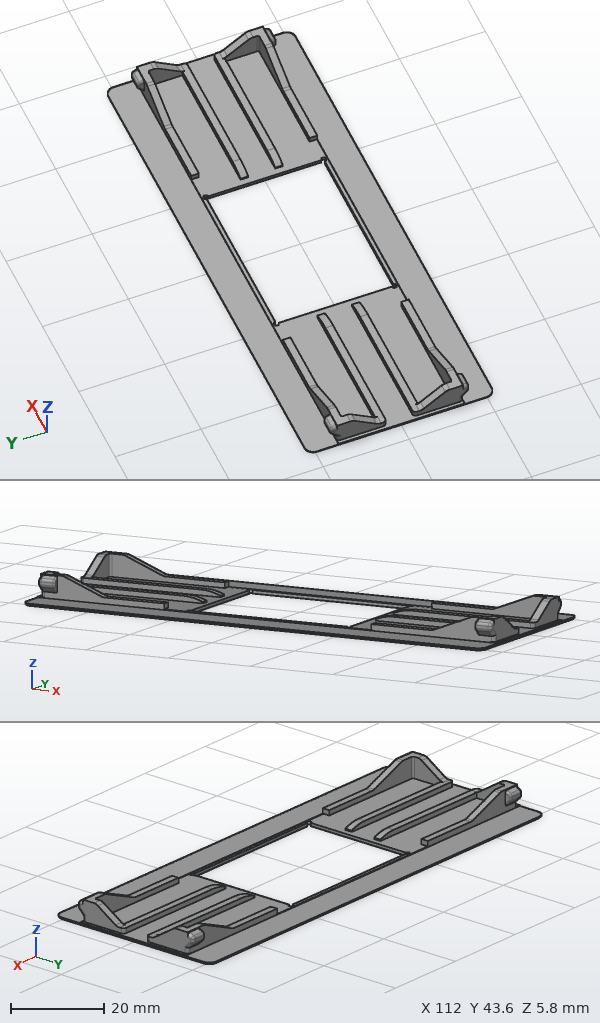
import cadquery as cq

plate_length = 112.0
plate_width = 43.6
plate_thickness = 0.62
plate_bottom_chamfer = 0.39
centre_strip_thickness = 0.8
plate_corner_radius = 2.0

window_length = 38.9
window_width = 27.4
relief_radius = 0.6

total_height = 5.8
rail_top = 2.0
end_margin = 0.84
wall_thickness = 2.0
rail_width = 1.8
outer_rail_face = 14.7
inner_rail_face = 3.1
outer_rail_tip = 25.2
inner_rail_tip = 21.0
inner_rail_nose_start = 25.5
inner_rail_tip_height = 1.1
bracket_corner_radius = 0.8
inside_corner_radius = 0.5
slope_blend_radius = 2.0

rail_slope_top = 49.7
rail_slope_bottom = 40.0
wall_slope_top = 11.0
wall_slope_bottom = 5.0

hook_length = 4.0
hook_reach = 1.5
hook_nose_bottom = 3.5
hook_nose_top = 4.9
hook_bevel_inset = 0.3
hook_blend_radius = 0.8
hook_end_radius = 0.5

bracket_end = plate_length / 2 - end_margin
wall_inner_face = bracket_end - wall_thickness
hook_free_end = bracket_end - hook_length


def make_plate():
    plate = (
        cq.Workplane("XY")
        .rect(plate_length, plate_width)
        .extrude(plate_thickness)
        .edges("|Z")
        .fillet(plate_corner_radius)
        .faces("<Z")
        .edges()
        .chamfer(plate_bottom_chamfer)
    )
    centre_strip = (
        cq.Workplane("XY")
        .workplane(offset=plate_bottom_chamfer)
        .rect(plate_length, 2 * outer_rail_face)
        .extrude(centre_strip_thickness - plate_bottom_chamfer)
    )
    window = cq.Workplane("XY").rect(window_length, window_width).extrude(centre_strip_thickness)
    reliefs = (
        cq.Workplane("XY")
        .rect(window_length, window_width, forConstruction=True)
        .vertices()
        .circle(relief_radius)
        .extrude(centre_strip_thickness)
    )
    return plate.union(centre_strip).cut(window).cut(reliefs)


def prism_along_y(points, y_start, y_end):
    """Extrude an X-Z outline from y_start to y_end."""
    outline = cq.Workplane("XZ", origin=(0, y_start, 0)).polyline(points).close()
    return outline.extrude(y_start - y_end)


def prism_along_x(points, x_start, x_end):
    """Extrude a Y-Z outline from x_start to x_end."""
    outline = cq.Workplane("YZ", origin=(x_start, 0, 0)).polyline(points).close()
    return outline.extrude(x_end - x_start)


def blend_slope(body, axis, top, bottom):
    """Round the two bends where a slope meets the level edges above and below it."""
    tolerance = 0.06
    for place, height in ((top, total_height), (bottom, rail_top)):
        low = [-plate_length, -plate_length, height - tolerance]
        high = [plate_length, plate_length, height + tolerance]
        low[axis] = place - tolerance
        high[axis] = place + tolerance
        body = body.edges(cq.selectors.BoxSelector(low, high)).fillet(slope_blend_radius)
    return body


def make_outer_rail():
    outline = [
        (bracket_end, 0),
        (bracket_end, total_height),
        (rail_slope_top, total_height),
        (rail_slope_bottom, rail_top),
        (outer_rail_tip, rail_top),
        (outer_rail_tip, 0),
    ]
    rail = prism_along_y(outline, outer_rail_face - rail_width, outer_rail_face)
    return blend_slope(rail, 0, rail_slope_top, rail_slope_bottom)


def make_inner_rail():
    """Level rail whose free end curves gently down to a low tip."""
    return (
        cq.Workplane("XZ", origin=(0, inner_rail_face, 0))
        .moveTo(bracket_end, 0)
        .lineTo(bracket_end, rail_top)
        .lineTo(inner_rail_nose_start, rail_top)
        .tangentArcPoint((inner_rail_tip, inner_rail_tip_height), relative=False)
        .lineTo(inner_rail_tip, 0)
        .close()
        .extrude(-rail_width)
    )


def make_end_wall():
    outline = [
        (inner_rail_face, 0),
        (inner_rail_face, rail_top),
        (wall_slope_bottom, rail_top),
        (wall_slope_top, total_height),
        (outer_rail_face, total_height),
        (outer_rail_face, 0),
    ]
    wall = prism_along_x(outline, wall_inner_face, bracket_end)
    return blend_slope(wall, 1, wall_slope_top, wall_slope_bottom)


def make_hook():
    """Bevelled catch that overhangs the outer rail; its root is buried inside the rail."""
    nose = outer_rail_face + hook_reach
    root = outer_rail_face - rail_width / 2
    outline = [
        (root, rail_top),
        (outer_rail_face, rail_top),
        (nose, hook_nose_bottom),
        (nose, hook_nose_top),
        (outer_rail_face - hook_bevel_inset, total_height),
        (root, total_height),
    ]
    hook = prism_along_x(outline, hook_free_end, bracket_end)
    return hook.faces(">Y").edges("|X").fillet(hook_blend_radius)


def edges_near_x(body, x, y_range, z_range):
    """Select the edges lying in the plane at x, with midpoints inside the Y and Z ranges."""
    tolerance = 0.06
    low = (x - tolerance, y_range[0], z_range[0])
    high = (x + tolerance, y_range[1], z_range[1])
    return body.edges(cq.selectors.BoxSelector(low, high))


def make_bracket():
    bracket = make_outer_rail().union(make_inner_rail()).union(make_end_wall())
    clearance = 0.1
    side_heights = (clearance, total_height - clearance)

    rail_inner_face = outer_rail_face - rail_width
    corner_span = (rail_inner_face - clearance, rail_inner_face + clearance)
    bracket = edges_near_x(bracket, wall_inner_face, corner_span, side_heights).fillet(inside_corner_radius)

    bracket = bracket.faces(">X").edges("|Z").edges("<Y").fillet(bracket_corner_radius)

    bracket = bracket.union(make_hook())
    hook_span = (outer_rail_face - clearance, plate_width / 2)
    bracket = edges_near_x(bracket, bracket_end, hook_span, side_heights).fillet(bracket_corner_radius)

    free_span = (outer_rail_face + clearance, plate_width / 2)
    return edges_near_x(bracket, hook_free_end, free_span, side_heights).fillet(hook_end_radius)


result = make_plate()
corner_bracket = make_bracket()
for bracket in (corner_bracket, corner_bracket.mirror("XZ")):
    result = result.union(bracket).union(bracket.mirror("YZ"))